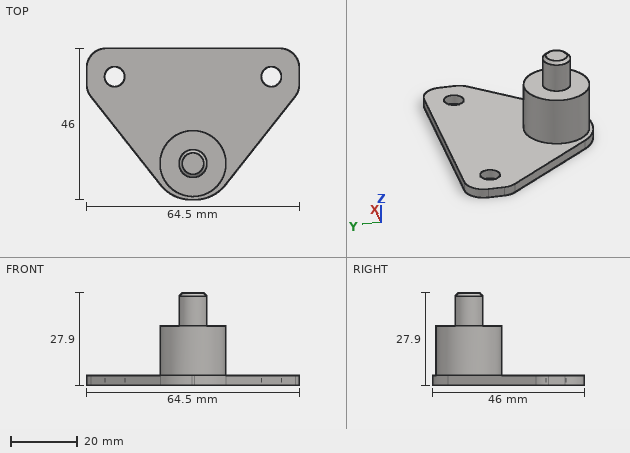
import cadquery as cq

plate_width = 64.5
plate_depth = 46.0
plate_thickness = 2.95
side_length = 13.0
front_edge_width = 12.5
side_corner_radius = 6.0
front_corner_radius = 12.0

boss_diameter = 20.0
boss_height = 15.0
boss_to_front_edge = 11.0
pin_diameter = 8.45
pin_height = 10.0
pin_chamfer = 0.95

hole_diameter = 6.0
hole_spacing = 47.5
hole_to_back_edge = 8.65

front_y = -boss_to_front_edge
back_y = front_y + plate_depth
hole_y = back_y - hole_to_back_edge


def make_plate():
    """Flat plate with rounded corners and two mounting holes."""
    half_width = plate_width / 2
    half_front = front_edge_width / 2
    side_end_y = back_y - side_length
    outline = [
        (-half_width, back_y),
        (half_width, back_y),
        (half_width, side_end_y),
        (half_front, front_y),
        (-half_front, front_y),
        (-half_width, side_end_y),
    ]
    plate = cq.Workplane("XY").polyline(outline).close().extrude(plate_thickness)
    plate = plate.edges("|Z").edges("<Y").fillet(front_corner_radius)
    for side in ("<X", ">X"):
        plate = plate.faces(side).edges("|Z").fillet(side_corner_radius)
    holes = (
        cq.Workplane("XY")
        .pushPoints([(-hole_spacing / 2, hole_y), (hole_spacing / 2, hole_y)])
        .circle(hole_diameter / 2)
        .extrude(plate_thickness)
    )
    return plate.cut(holes)


def make_post():
    """Boss standing on the plate, with a narrower chamfered pin on top."""
    boss = (
        cq.Workplane("XY")
        .workplane(offset=plate_thickness)
        .circle(boss_diameter / 2)
        .extrude(boss_height)
    )
    pin = (
        cq.Workplane("XY")
        .workplane(offset=plate_thickness + boss_height)
        .circle(pin_diameter / 2)
        .extrude(pin_height)
        .faces(">Z")
        .chamfer(pin_chamfer)
    )
    return boss.union(pin)


result = make_plate().union(make_post())